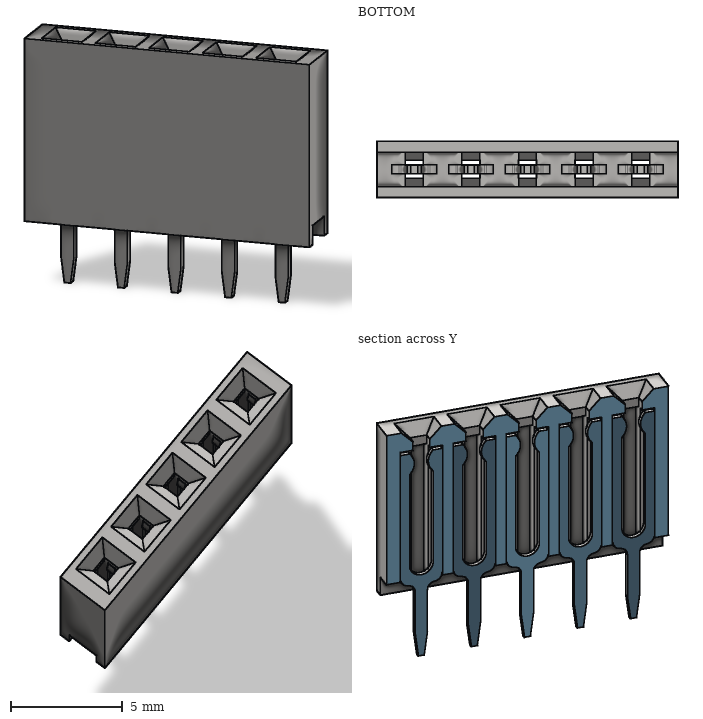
import cadquery as cq
import math

HOUSING_LENGTH = 13.5
HOUSING_WIDTH = 2.54
HOUSING_HEIGHT = 8.5
CONTACT_COUNT = 5
PITCH = 2.54

LEG_THICKNESS = 0.5
CHANNEL_WIDTH = HOUSING_WIDTH - 2 * LEG_THICKNESS
CHANNEL_HEIGHT = 0.9

FUNNEL_SIZE = 1.9
THROAT_SIZE = 0.8
FUNNEL_DEPTH = (FUNNEL_SIZE - THROAT_SIZE) / 2
ENTRY_DEPTH = 1.0
ENTRY_BOTTOM = HOUSING_HEIGHT - ENTRY_DEPTH

CONTACT_THICKNESS = 0.4
TAIL_WIDTH = 0.61
TAIL_LENGTH = 3.0
TIP_WIDTH = 0.3
TAPER_LENGTH = 1.17
FORK_WIDTH = 2.0
SHOULDER_Z = 0.3
SHOULDER_FILLET = 0.36
SHOULDER_ANGLE = 80.0
FORK_CORNER_RADIUS = 0.38
FORK_GAP = 1.11
GAP_BOTTOM_Z = 1.13
PINCH_GAP = 0.65
BULGE_HALF_HEIGHT = 0.54
TINE_CLEARANCE = 0.14

CONTACT_X = [(i - (CONTACT_COUNT - 1) / 2) * PITCH for i in range(CONTACT_COUNT)]


def box(x, length, width, bottom, top):
    """Block centred on (x, 0) between two heights."""
    return cq.Workplane("XY", origin=(x, 0, bottom)).rect(length, width).extrude(top - bottom)


def make_socket(x):
    """Space of one socket: funnel, throat, wide chamber and the slot that holds the fork."""
    funnel = (
        cq.Workplane("XY", origin=(x, 0, HOUSING_HEIGHT))
        .rect(FUNNEL_SIZE, FUNNEL_SIZE)
        .workplane(offset=-FUNNEL_DEPTH)
        .rect(THROAT_SIZE, THROAT_SIZE)
        .loft(ruled=True)
    )
    throat = box(x, THROAT_SIZE, THROAT_SIZE, ENTRY_BOTTOM, HOUSING_HEIGHT - FUNNEL_DEPTH)
    chamber = box(x, THROAT_SIZE, CHANNEL_WIDTH, CHANNEL_HEIGHT, ENTRY_BOTTOM)
    fork_slot = box(x, FORK_WIDTH, CONTACT_THICKNESS, CHANNEL_HEIGHT, ENTRY_BOTTOM)
    return funnel.union(throat).union(chamber).union(fork_slot)


def make_housing():
    housing = box(0, HOUSING_LENGTH, HOUSING_WIDTH, 0, HOUSING_HEIGHT)
    housing = housing.cut(box(0, HOUSING_LENGTH, CHANNEL_WIDTH, 0, CHANNEL_HEIGHT))
    for x in CONTACT_X:
        housing = housing.cut(make_socket(x))
    return housing


def arc_point(centre, radius, degrees):
    """Point on a circle in the XZ plane, at an angle from +X."""
    angle = math.radians(degrees)
    return (centre[0] + radius * math.cos(angle), centre[1] + radius * math.sin(angle))


def make_contact(x):
    """Half outline from the tip up to the fork and down its gap, extruded and mirrored."""
    half_tail = TAIL_WIDTH / 2
    half_fork = FORK_WIDTH / 2
    half_gap = FORK_GAP / 2
    turn = SHOULDER_ANGLE

    fillet_centre = (half_tail + SHOULDER_FILLET, SHOULDER_Z)
    fillet_middle = arc_point(fillet_centre, SHOULDER_FILLET, 180 - turn / 2)
    fillet_end = arc_point(fillet_centre, SHOULDER_FILLET, 180 - turn)

    corner_x = half_fork - FORK_CORNER_RADIUS
    corner_start_x = arc_point((corner_x, 0), FORK_CORNER_RADIUS, -turn)[0]
    underside_rise = (corner_start_x - fillet_end[0]) / math.tan(math.radians(turn))
    corner_start_z = fillet_end[1] + underside_rise
    corner_z = corner_start_z + FORK_CORNER_RADIUS * math.sin(math.radians(turn))
    corner_centre = (corner_x, corner_z)

    gap_centre = (0, GAP_BOTTOM_Z + half_gap)
    gap_middle = arc_point(gap_centre, half_gap, -45)
    tine_top = ENTRY_BOTTOM - TINE_CLEARANCE
    pinch_z = tine_top - BULGE_HALF_HEIGHT

    half = (
        cq.Workplane("XZ", origin=(0, CONTACT_THICKNESS / 2, 0))
        .moveTo(0, -TAIL_LENGTH)
        .lineTo(TIP_WIDTH / 2, -TAIL_LENGTH)
        .lineTo(half_tail, TAPER_LENGTH - TAIL_LENGTH)
        .lineTo(half_tail, SHOULDER_Z)
        .threePointArc(fillet_middle, fillet_end)
        .lineTo(corner_start_x, corner_start_z)
        .threePointArc(
            arc_point(corner_centre, FORK_CORNER_RADIUS, -turn / 2),
            (half_fork, corner_z),
        )
        .lineTo(half_fork, tine_top)
        .lineTo(half_gap, tine_top)
        .threePointArc((PINCH_GAP / 2, pinch_z), (half_gap, pinch_z - BULGE_HALF_HEIGHT))
        .lineTo(half_gap, gap_centre[1])
        .threePointArc(gap_middle, (0, GAP_BOTTOM_Z))
        .close()
        .extrude(CONTACT_THICKNESS)
    )
    whole = half.union(half.mirror("YZ")).clean()
    return whole.translate((x, 0, 0))


housing = make_housing()
contacts = [make_contact(x) for x in CONTACT_X]
result = cq.Compound.makeCompound([housing.val(), *[contact.val() for contact in contacts]])